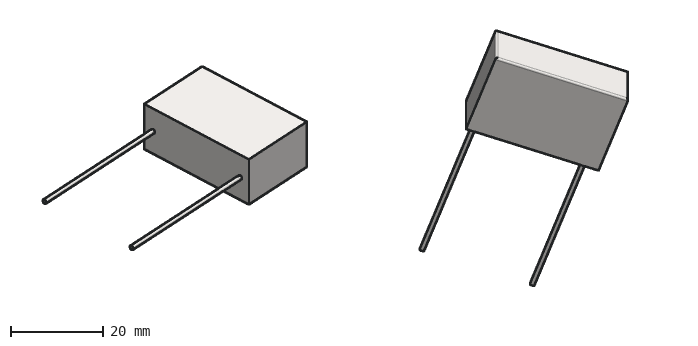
import cadquery as cq

overall_length = 54.0
case_width = 30.5
case_height = 12.1
case_depth = 19.0
back_edge_radius = 0.5

lead_diameter = 1.1
lead_pitch = 25.4
lead_length = overall_length - case_depth


def make_case():
    """Rectangular capacitor case: lead face at Y = 0, rear face rounded all around."""
    case = cq.Workplane("XY").box(case_width, case_depth, case_height, centered=(True, False, True))
    return case.faces(">Y").edges().fillet(back_edge_radius)


def make_lead(x_position):
    """Straight round wire that starts on the lead face and runs toward -Y."""
    return cq.Workplane("XZ").center(x_position, 0).circle(lead_diameter / 2).extrude(lead_length)


case = make_case()
leads = [make_lead(side * lead_pitch / 2) for side in (-1, 1)]

result = cq.Compound.makeCompound([case.val(), *[lead.val() for lead in leads]])